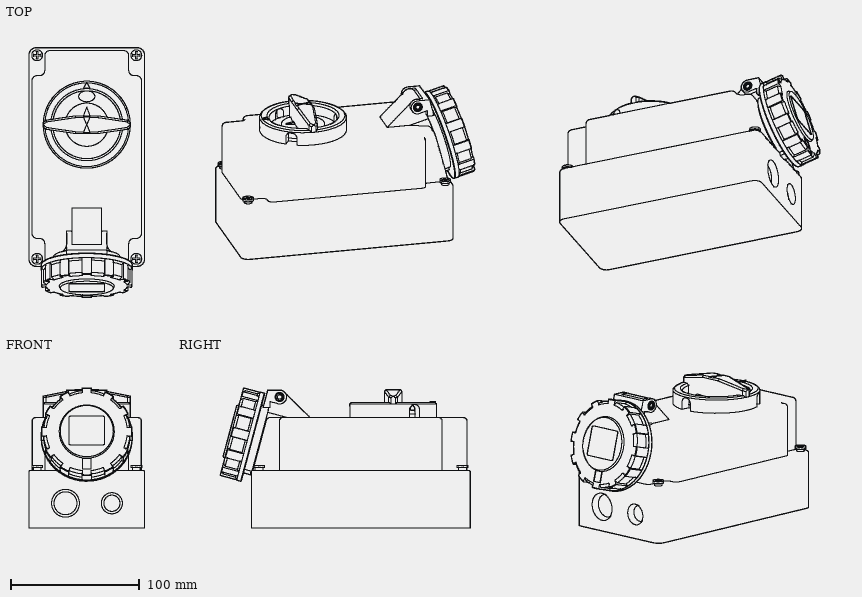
import cadquery as cq
import math


OVERLAP = 1.0

BASE_WIDTH = 90.0
BASE_LENGTH = 170.0
BASE_HEIGHT = 45.0
BASE_CORNER_R = 6.0
BASE_TOP_R = 1.3

ENTRY_Z = 19.4
ENTRY_DEPTH = 5.0
ENTRY_TAPER = 1.9
ENTRIES = [(-16.5, 21.6), (19.5, 16.4)]

HOUSING_TOP = 86.0
HOUSING_BACK = 82.6
HOUSING_HALF_WIDE = 42.5
HOUSING_HALF_NARROW = 32.6
HOUSING_STEP_Y = 63.2
HOUSING_CORNER_R = 4.0
HOUSING_TOP_R = 3.0

TILT = 15.0
SIN_TILT = math.sin(math.radians(TILT))
COS_TILT = math.cos(math.radians(TILT))
FRONT_TOP_Y = -72.7

SCREW_X = 38.5
SCREW_Y = 79.0
SCREW_TOP = 48.7
SCREW_HEAD_D = 8.4
SCREW_HEAD_T = 1.7
SCREW_STEM_D = 6.0
SCREW_SLOT_L = 6.0
SCREW_SLOT_W = 1.2
SCREW_SLOT_DEPTH = 1.2

KNOB_Y = 25.1
KNOB_R = 33.8
KNOB_TOP = 97.8
KNOB_FLOOR = 88.5
KNOB_EDGE = 1.3
KNOB_INNER_R = 26.4
KNOB_INNER_EDGE = 1.6
HUB_R = 16.8
HUB_TOP = 91.7
HUB_EDGE_R = 1.2
WINDOW_WIDTH = 9.0
WINDOW_TOP = 96.0
WINDOW_ANGLES = [30, 150, 270]
LAMP_HALF_WIDTH = 6.3
LAMP_HALF_LENGTH = 4.2
LAMP_OFFSET = 22.0
LAMP_DEPTH = 0.4

HANDLE_TIP_X = 33.9
HANDLE_TIP_END_HALF = 1.8
HANDLE_TIP_BEVEL = 2.2
HANDLE_MID_X = 8.6
HANDLE_MID_HALF = 6.9
HANDLE_TIP_HALF = 3.5
HANDLE_TOP = 107.7
HANDLE_TIP_TOP = 102.6
HANDLE_EDGE = 1.4
HANDLE_MARK_HALF = 3.0
HANDLE_MARK_DEPTH = 0.4

POINTER_HEIGHT = 0.7
POINTERS = [
    (28.6, 4.8, 4.2, KNOB_TOP - OVERLAP, KNOB_TOP + POINTER_HEIGHT),
    (6.0, 5.8, 7.6, HUB_TOP - OVERLAP, HUB_TOP + POINTER_HEIGHT),
]

COVER_Y = -100.17
COVER_Z = 75.0
COVER_R = 35.5
GRIP_R = 35.25
COVER_DEPTH = 17.1
COVER_RIM = 3.7
COVER_EDGE = 0.5
GRIP_COUNT = 12
GRIP_HALF_ANGLE = 6.0
GRIP_DEPTH = 1.6
GRIP_FRONT_R = 31.5
GRIP_FRONT_SLOPE = 2.0
GRIP_BACK_SLOPE = 1.5
DISC_R = 21.4
DISC_TOP_R = 41.2 / 2
DISC_HEIGHT = 1.6
LABEL_WIDTH = 27.8
LABEL_HEIGHT = 23.3
LABEL_CORNER_R = 1.5
LABEL_OFFSET = 0.5
LABEL_DEPTH = 0.3
NOTCH_WIDTH = 6.8
NOTCH_LENGTH = 8.6
NOTCH_DEPTH = 0.6

NECK_R = 26.0
NECK_LENGTH = 6.0
BOSS_R = 24.6
BOSS_LENGTH = 50.0
LUG_WIDTH = 8.0
LUG_REACH = 28.7
LUG_LENGTH = 5.5

PIN_Y = -63.0
PIN_Z = 101.9
EAR_R = 5.4
BARREL_R = 5.2
BARREL_FRONT_GAP = 4.8
BARREL_HALF_WIDTH = 11.6
EAR_HALF_WIDTH = 15.6
RAMP_FOOT_Y = -39.4
HINGE_FRONT_Y = -72.3
HINGE_EAR_BOTTOM = 98.3
HINGE_PLATE_BOTTOM = 93.8
HINGE_PLATE_BACK = -70.6
PIN_HEAD_D = 7.0
PIN_HOLE_D = 3.5
PIN_HOLE_DEPTH = 0.8
PIN_GROOVE_D = 5.5
PIN_GROOVE_DEPTH = 0.4


def vertical_cylinder(x, y, z_low, z_high, diameter):
    return cq.Workplane("XY", origin=(x, y, z_low)).circle(diameter / 2).extrude(z_high - z_low)


def side_prism(points, half_width):
    """Prism with a (Y, Z) outline, symmetric about the X = 0 plane."""
    return cq.Workplane("YZ").polyline(points).close().extrude(half_width, both=True)


def front_y(z):
    """Y of the inclined housing front at height z."""
    return FRONT_TOP_Y - (HOUSING_TOP - z) * SIN_TILT / COS_TILT


def cover_plane(distance):
    """Plane square to the cover axis, at a distance in front of the cover face; local Y is up."""
    origin = (0, COVER_Y - distance * COS_TILT, COVER_Z + distance * SIN_TILT)
    return cq.Plane(origin=origin, xDir=(1, 0, 0), normal=(0, -COS_TILT, SIN_TILT))


def make_base():
    base = cq.Workplane("XY").box(BASE_WIDTH, BASE_LENGTH, BASE_HEIGHT, centered=(True, True, False))
    base = base.edges("|Z").fillet(BASE_CORNER_R)
    base = base.faces(">Z").edges().fillet(BASE_TOP_R)
    for x, diameter in ENTRIES:
        mouth = cq.Workplane("XZ", origin=(x, -BASE_LENGTH / 2, ENTRY_Z)).circle(diameter / 2)
        taper_angle = math.degrees(math.atan(ENTRY_TAPER / ENTRY_DEPTH))
        base = base.cut(mouth.extrude(-ENTRY_DEPTH, taper=taper_angle))
    return base


def make_housing():
    foot = BASE_HEIGHT - OVERLAP
    half_outline = [
        (HOUSING_HALF_NARROW, HOUSING_BACK),
        (HOUSING_HALF_NARROW, HOUSING_STEP_Y),
        (HOUSING_HALF_WIDE, HOUSING_STEP_Y),
        (HOUSING_HALF_WIDE, -HOUSING_STEP_Y),
        (HOUSING_HALF_NARROW, -HOUSING_STEP_Y),
        (HOUSING_HALF_NARROW, -BASE_LENGTH / 2),
    ]
    mirrored = [(-x, y) for x, y in reversed(half_outline)]
    block = cq.Workplane("XY", origin=(0, 0, foot)).polyline(half_outline + mirrored).close()
    block = block.extrude(HOUSING_TOP - foot)
    side_outline = [
        (HOUSING_BACK, foot),
        (HOUSING_BACK, HOUSING_TOP),
        (front_y(HOUSING_TOP), HOUSING_TOP),
        (front_y(foot), foot),
    ]
    housing = block.intersect(side_prism(side_outline, HOUSING_HALF_WIDE))
    housing = housing.edges("|Z").fillet(HOUSING_CORNER_R)
    housing = housing.faces("<Y").edges("not |X").fillet(HOUSING_CORNER_R)
    return housing.faces(">Z").edges().fillet(HOUSING_TOP_R)


def make_screw(x, y):
    head_bottom = SCREW_TOP - SCREW_HEAD_T
    screw = vertical_cylinder(x, y, head_bottom, SCREW_TOP, SCREW_HEAD_D)
    screw = screw.union(vertical_cylinder(x, y, BASE_HEIGHT - OVERLAP, head_bottom, SCREW_STEM_D))
    slot = cq.Workplane("XY", origin=(x, y, SCREW_TOP))
    slot_x = slot.rect(SCREW_SLOT_L, SCREW_SLOT_W).extrude(-SCREW_SLOT_DEPTH)
    slot_y = slot.rect(SCREW_SLOT_W, SCREW_SLOT_L).extrude(-SCREW_SLOT_DEPTH)
    return screw.cut(slot_x).cut(slot_y)


def make_knob_dish():
    foot = HOUSING_TOP - OVERLAP
    profile = [
        (0, foot),
        (KNOB_R, foot),
        (KNOB_R, KNOB_TOP - KNOB_EDGE),
        (KNOB_R - KNOB_EDGE, KNOB_TOP),
        (KNOB_INNER_R + KNOB_INNER_EDGE, KNOB_TOP),
        (KNOB_INNER_R, KNOB_TOP - KNOB_INNER_EDGE),
        (KNOB_INNER_R, KNOB_FLOOR),
        (0, KNOB_FLOOR),
    ]
    dish = cq.Workplane("XZ").polyline(profile).close().revolve(360, (0, 0), (0, 1))
    lamp = cq.Workplane("XY", origin=(0, LAMP_OFFSET, KNOB_FLOOR))
    dish = dish.cut(lamp.ellipse(LAMP_HALF_WIDTH, LAMP_HALF_LENGTH).extrude(-LAMP_DEPTH))
    arch_z = WINDOW_TOP - WINDOW_WIDTH / 2
    window = (
        cq.Workplane("YZ", origin=(HUB_R, 0, 0))
        .moveTo(-WINDOW_WIDTH / 2, HOUSING_TOP)
        .lineTo(WINDOW_WIDTH / 2, HOUSING_TOP)
        .lineTo(WINDOW_WIDTH / 2, arch_z)
        .threePointArc((0, WINDOW_TOP), (-WINDOW_WIDTH / 2, arch_z))
        .close()
        .extrude(KNOB_R)
    )
    window = window.cut(vertical_cylinder(0, 0, HOUSING_TOP, KNOB_TOP, 2 * KNOB_INNER_R))
    for angle in WINDOW_ANGLES:
        dish = dish.cut(window.rotate((0, 0, 0), (0, 0, 1), angle))
    hub = vertical_cylinder(0, 0, KNOB_FLOOR - OVERLAP, HUB_TOP, 2 * HUB_R)
    return dish.union(hub.faces(">Z").edges().fillet(HUB_EDGE_R))


def make_handle():
    plan = [
        (HANDLE_TIP_X, HANDLE_TIP_END_HALF),
        (HANDLE_TIP_X - HANDLE_TIP_BEVEL, HANDLE_TIP_HALF),
        (HANDLE_MID_X, HANDLE_MID_HALF),
        (-HANDLE_MID_X, HANDLE_MID_HALF),
        (HANDLE_TIP_BEVEL - HANDLE_TIP_X, HANDLE_TIP_HALF),
        (-HANDLE_TIP_X, HANDLE_TIP_END_HALF),
    ]
    mirrored = [(x, -y) for x, y in reversed(plan)]
    foot = KNOB_FLOOR - OVERLAP
    bar = cq.Workplane("XY", origin=(0, 0, foot)).polyline(plan + mirrored).close()
    bar = bar.extrude(HANDLE_TOP - foot)
    elevation = [
        (-HANDLE_TIP_X, foot),
        (HANDLE_TIP_X, foot),
        (HANDLE_TIP_X, HANDLE_TIP_TOP),
        (HANDLE_MID_X, HANDLE_TOP),
        (-HANDLE_MID_X, HANDLE_TOP),
        (-HANDLE_TIP_X, HANDLE_TIP_TOP),
    ]
    slopes = cq.Workplane("XZ").polyline(elevation).close().extrude(HANDLE_MID_HALF, both=True)
    bar = bar.intersect(slopes)
    bar = bar.faces("+Z or (not(#Z or |Z))").edges("not |Y").chamfer(HANDLE_EDGE)
    for side in (-1, 1):
        outer_y = side * HANDLE_MID_HALF
        mark = [(0, 0), (HANDLE_MARK_HALF, outer_y), (-HANDLE_MARK_HALF, outer_y)]
        mark_face = cq.Workplane("XY", origin=(0, 0, HANDLE_TOP)).polyline(mark).close()
        bar = bar.cut(mark_face.extrude(-HANDLE_MARK_DEPTH))
    below_rim = vertical_cylinder(0, 0, foot, KNOB_TOP - KNOB_EDGE, 2 * HANDLE_TIP_X + OVERLAP)
    inner_column = vertical_cylinder(0, 0, foot, KNOB_TOP, 2 * KNOB_INNER_R)
    return bar.cut(below_rim.cut(inner_column))


def make_pointer(base_y, width, length, foot, top):
    outline = [(-width / 2, base_y), (width / 2, base_y), (0, base_y + length)]
    return cq.Workplane("XY", origin=(0, 0, foot)).polyline(outline).close().extrude(top - foot)


def make_switch():
    switch = make_knob_dish().union(make_handle())
    for pointer in POINTERS:
        switch = switch.union(make_pointer(*pointer))
    return switch.translate((0, KNOB_Y, 0))


def make_grip_recess():
    """Recess between two neighbouring grips, as a partial ring with sloping ends."""
    floor_r = GRIP_R - GRIP_DEPTH
    outer_r = COVER_R + OVERLAP
    back = COVER_RIM - COVER_DEPTH
    profile = [
        (GRIP_FRONT_R, 0),
        (floor_r, -GRIP_FRONT_SLOPE),
        (floor_r, back + GRIP_BACK_SLOPE),
        (GRIP_R, back),
        (outer_r, back),
        (outer_r, OVERLAP),
        (GRIP_FRONT_R, OVERLAP),
    ]
    sweep = 360 / GRIP_COUNT - 2 * GRIP_HALF_ANGLE
    return cq.Workplane("XZ").polyline(profile).close().revolve(sweep, (0, 0), (0, 1))


def make_cover():
    """Cover built upright about +Z with its front face at Z = 0, then moved onto the inclined axis."""
    cover = cq.Workplane("XY").circle(GRIP_R).extrude(-COVER_DEPTH)
    cover = cover.faces(">Z").edges().chamfer(COVER_EDGE)
    rim = cq.Workplane("XY", origin=(0, 0, -COVER_DEPTH)).circle(COVER_R).extrude(COVER_RIM)
    cover = cover.union(rim.faces("<Z").edges().chamfer(COVER_EDGE))
    recess = make_grip_recess()
    pitch = 360 / GRIP_COUNT
    for index in range(GRIP_COUNT):
        angle = index * pitch + GRIP_HALF_ANGLE
        cover = cover.cut(recess.rotate((0, 0, 0), (0, 0, 1), angle))
    disc_slope = math.degrees(math.atan((DISC_R - DISC_TOP_R) / DISC_HEIGHT))
    cover = cover.union(cq.Workplane("XY").circle(DISC_R).extrude(DISC_HEIGHT, taper=disc_slope))
    label = cq.Workplane("XY", origin=(0, LABEL_OFFSET, DISC_HEIGHT)).rect(LABEL_WIDTH, LABEL_HEIGHT)
    label = label.extrude(-LABEL_DEPTH).edges("|Z").fillet(LABEL_CORNER_R)
    notch = cq.Workplane("XY").center(0, -DISC_R - NOTCH_LENGTH / 2).rect(NOTCH_WIDTH, NOTCH_LENGTH)
    cover = cover.cut(label).cut(notch.extrude(-NOTCH_DEPTH))
    return cq.Workplane(obj=cover.val().located(cq.Location(cover_plane(0))))


def make_socket():
    neck = cq.Workplane(cover_plane(-COVER_DEPTH)).circle(NECK_R).extrude(-NECK_LENGTH)
    boss = cq.Workplane(cover_plane(-COVER_DEPTH)).circle(BOSS_R).extrude(-BOSS_LENGTH)
    joint = cq.Workplane(cover_plane(-COVER_DEPTH)).circle(BOSS_R).extrude(OVERLAP)
    lug = cq.Workplane(cover_plane(-COVER_DEPTH)).center(0, -LUG_REACH / 2).rect(LUG_WIDTH, LUG_REACH)
    return neck.union(boss).union(joint).union(lug.extrude(-LUG_LENGTH))


def make_hinge_ramp():
    """Ramp rising from the housing top to the hinge barrel."""
    foot = HOUSING_TOP - OVERLAP
    run = PIN_Y - RAMP_FOOT_Y
    rise = PIN_Z - HOUSING_TOP
    tangent = math.atan2(rise, run) - math.asin(BARREL_R / math.hypot(run, rise))
    touch_y = PIN_Y + BARREL_R * math.sin(tangent)
    touch_z = PIN_Z - BARREL_R * math.cos(tangent)
    outline = [
        (RAMP_FOOT_Y, foot),
        (RAMP_FOOT_Y, HOUSING_TOP),
        (touch_y, touch_z),
        (PIN_Y, PIN_Z),
        (PIN_Y - BARREL_R, PIN_Z),
        (HINGE_PLATE_BACK - OVERLAP, HINGE_EAR_BOTTOM),
        (HINGE_PLATE_BACK - OVERLAP, HINGE_PLATE_BOTTOM),
        (front_y(foot), foot),
    ]
    barrel = cq.Workplane("YZ").center(PIN_Y, PIN_Z).circle(BARREL_R)
    return side_prism(outline, BARREL_HALF_WIDTH).union(barrel.extrude(BARREL_HALF_WIDTH, both=True))


def make_hinge_ears():
    """Ears around the pin, joined by a plate in front of the barrel."""
    top = PIN_Z + EAR_R
    plate_front_y = HINGE_FRONT_Y - (top - HINGE_PLATE_BOTTOM) * SIN_TILT / COS_TILT
    outline = [
        (PIN_Y, top),
        (HINGE_FRONT_Y, top),
        (plate_front_y, HINGE_PLATE_BOTTOM),
        (HINGE_PLATE_BACK, HINGE_PLATE_BOTTOM),
        (HINGE_PLATE_BACK, HINGE_EAR_BOTTOM),
        (PIN_Y, PIN_Z - EAR_R),
    ]
    eye = cq.Workplane("YZ").center(PIN_Y, PIN_Z).circle(EAR_R).extrude(EAR_HALF_WIDTH, both=True)
    ears = side_prism(outline, EAR_HALF_WIDTH).union(eye)
    gap_front = PIN_Y - BARREL_FRONT_GAP
    gap = cq.Workplane("XY").box(
        2 * BARREL_HALF_WIDTH, 2 * EAR_R, 2 * EAR_R + OVERLAP, centered=(True, False, True)
    )
    ears = ears.cut(gap.translate((0, gap_front, PIN_Z)))
    for side in (-1, 1):
        face = cq.Workplane("YZ", origin=(side * EAR_HALF_WIDTH, PIN_Y, PIN_Z))
        ring = face.circle(PIN_HEAD_D / 2).circle(PIN_GROOVE_D / 2).extrude(-side * PIN_GROOVE_DEPTH)
        hole = face.circle(PIN_HOLE_D / 2).extrude(-side * PIN_HOLE_DEPTH)
        ears = ears.cut(ring).cut(hole)
    return ears


def make_part():
    part = make_base().union(make_housing()).union(make_switch())
    part = part.union(make_hinge_ramp()).union(make_socket())
    part = part.union(make_hinge_ears()).union(make_cover())
    for x in (-SCREW_X, SCREW_X):
        for y in (-SCREW_Y, SCREW_Y):
            part = part.union(make_screw(x, y))
    return part


result = make_part()